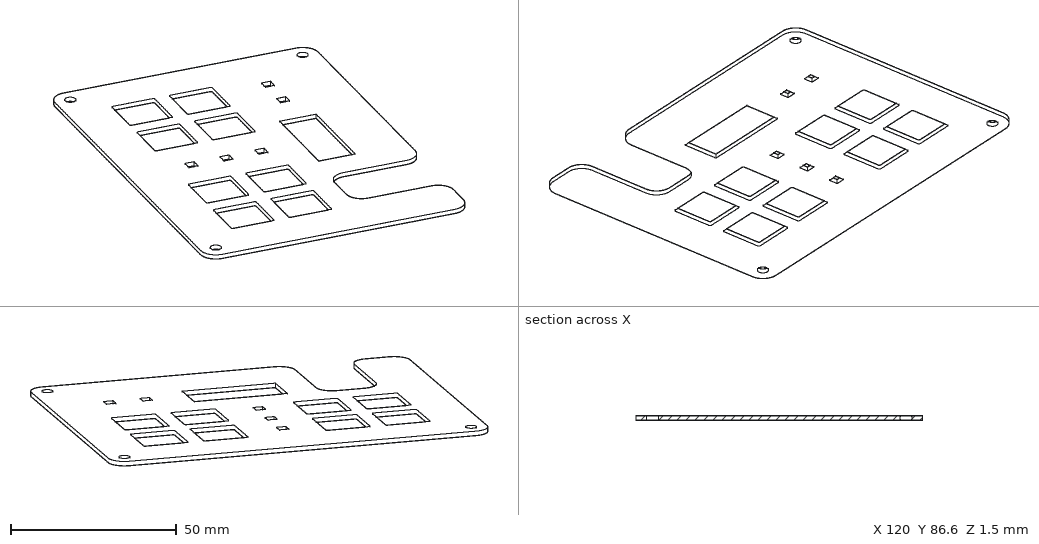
import cadquery as cq

length = 120.0
width = 86.6
thickness = 1.5
corner_radius = 5.0

mount_hole_diameter = 3.4

slot_width = 18.8
slot_center_x = 33.0
slot_depth = 31.0

key_size = 14.0
key_corner_radius = 0.5
key_pitch = 19.0
key_block_centers_x = (-29.2, 28.6)
key_block_center_y = -12.2

window_size = 3.0
window_pitch = 11.5
window_column_x = 0.2
window_column_center_y = -10.9
window_row_center_x = -35.0
window_row_y = 20.6

display_length = 29.5
display_width = 12.0
display_center = (-1.5, 19.8)


def cutter(outline):
    """Extrude an outline on the underside through the full plate thickness."""
    return outline.extrude(thickness)


def make_plate():
    """Rounded plate with the slot cut in from its back edge."""
    slot_center_y = (width - slot_depth) / 2
    slot = cutter(cq.Workplane().center(slot_center_x, slot_center_y).rect(slot_width, slot_depth))
    plate = cq.Workplane().box(length, width, thickness, centered=(True, True, False))
    return plate.cut(slot).edges("|Z").fillet(corner_radius)


def mount_holes():
    x = length / 2 - corner_radius
    y = width / 2 - corner_radius
    centers = [(-x, y), (-x, -y), (x, -y)]
    return cutter(cq.Workplane().pushPoints(centers).circle(mount_hole_diameter / 2))


def key_block(center_x):
    """Two by two block of key openings with eased corners."""
    grid = cq.Workplane().center(center_x, key_block_center_y).rarray(key_pitch, key_pitch, 2, 2)
    return cutter(grid.rect(key_size, key_size)).edges("|Z").fillet(key_corner_radius)


def window_array(center_x, center_y, columns, rows):
    grid = cq.Workplane().center(center_x, center_y).rarray(window_pitch, window_pitch, columns, rows)
    return cutter(grid.rect(window_size, window_size))


def display_opening():
    return cutter(cq.Workplane().center(*display_center).rect(display_length, display_width))


result = make_plate().cut(mount_holes()).cut(display_opening())
for block_x in key_block_centers_x:
    result = result.cut(key_block(block_x))
result = result.cut(window_array(window_column_x, window_column_center_y, 1, 3))
result = result.cut(window_array(window_row_center_x, window_row_y, 2, 1))